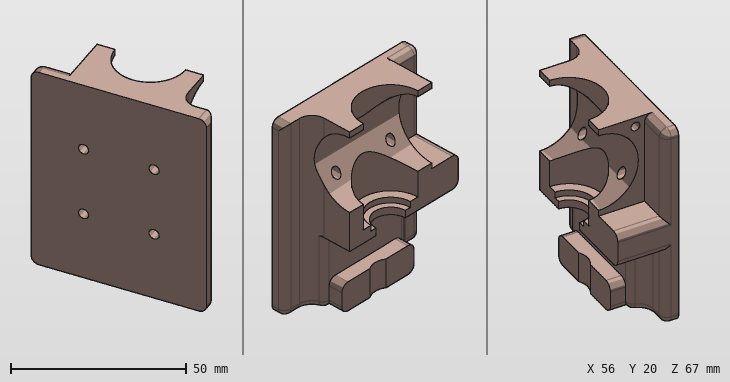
import cadquery as cq
import math

part_depth = 20.0
plate_width = 56.0
plate_height = 67.0
plate_thickness = part_depth / 4
edge_radius = plate_thickness / 2
mid_x = plate_width / 2

bracket_left = 11.0
bracket_right = plate_width - bracket_left
bracket_bottom = 25.4
root_radius = plate_thickness

arm_top = 37.0

pad_back = 2 * plate_thickness
stop_back = 3 * plate_thickness
stop_height = 10.05

cradle_radius = 13.0
cradle_z = 51.9
bore_radius = 6.0
step_radius = 8.1
seat_radius = 11.25
step_floor = 28.0
seat_floor = 30.0

mount_hole_diameter = 3.2
mount_hole_spacing = 22.5
mount_hole_z = plate_height / 2
side_hole_diameter = 2.9
side_hole_depth = 8.05
side_hole_y = 8.0
side_hole_z = 64.0

slack = 0.1

root_center_x = bracket_left - root_radius
root_center_y = plate_thickness + root_radius
edge_center_y = pad_back - edge_radius
flank_angle = math.asin((root_center_y - edge_center_y) / (root_radius + edge_radius))
pad_left = root_center_x + (root_radius + edge_radius) * math.cos(flank_angle)
pad_right = plate_width - pad_left


def block(x_range, y_range, z_range):
    """Box between pairs of limits along X, Y and Z."""
    size = [high - low for low, high in (x_range, y_range, z_range)]
    corner = (x_range[0], y_range[0], z_range[0])
    return cq.Workplane("XY").box(*size, centered=False).translate(corner)


def upright_cylinder(radius, bottom):
    """Vertical cylinder from bottom to the top of the part, its axis in the back face."""
    base = cq.Workplane("XY", origin=(mid_x, part_depth, bottom))
    return base.circle(radius).extrude(plate_height - bottom)


def make_plate():
    """Plate with rounded corners."""
    plate = block((0, plate_width), (0, plate_thickness), (0, plate_height))
    return plate.edges("|Y").fillet(edge_radius)


def make_pad():
    """Pad behind the lower part of the plate, with S-shaped flanks."""
    arc_end_y = root_center_y - root_radius * math.sin(flank_angle)
    arc_end_x = root_center_x + root_radius * math.cos(flank_angle)
    return (
        cq.Workplane("XY")
        .moveTo(root_center_x, 0)
        .lineTo(plate_width - root_center_x, 0)
        .lineTo(plate_width - root_center_x, plate_thickness)
        .radiusArc((plate_width - arc_end_x, arc_end_y), root_radius)
        .radiusArc((pad_right, pad_back), -edge_radius)
        .lineTo(pad_left, pad_back)
        .radiusArc((arc_end_x, arc_end_y), -edge_radius)
        .radiusArc((root_center_x, plate_thickness), root_radius)
        .close()
        .extrude(bracket_bottom)
    )


def make_bracket():
    """Bracket block with a concave root fillet between its right side and the plate."""
    return (
        cq.Workplane("XY", origin=(0, 0, bracket_bottom))
        .moveTo(bracket_left, 0)
        .lineTo(bracket_right + root_radius, 0)
        .lineTo(bracket_right + root_radius, plate_thickness)
        .radiusArc((bracket_right, root_center_y), root_radius)
        .lineTo(bracket_right, part_depth)
        .lineTo(bracket_left, part_depth)
        .close()
        .extrude(plate_height - bracket_bottom)
    )


def round_rear_rim(body):
    """Round the rear rim all around the plate and the bottom of the pad."""
    def on_rim(edge):
        box = edge.BoundingBox()
        on_left = box.xmax < edge_radius + slack
        on_right = box.xmin > plate_width - edge_radius - slack
        on_bottom = box.zmax < edge_radius + slack
        on_top = box.zmin > plate_height - edge_radius - slack
        on_rear = box.ymin > plate_thickness - slack
        return on_rear and (on_left or on_right or on_bottom or on_top)

    rim = [edge for edge in body.edges().vals() if on_rim(edge)]
    return body.newObject(rim).fillet(edge_radius)


def make_sharp_top():
    """Upper right quarter of the plate, whose top edge stays sharp beside the bracket."""
    quarter = block((mid_x, plate_width), (0, plate_thickness), (bracket_bottom, plate_height))
    quarter = quarter.edges("|Z and >X and >Y").fillet(edge_radius)
    return quarter.intersect(make_plate())


def make_arm():
    """Arm with its two outer edges rounded."""
    arm = block((0, bracket_right), (0, part_depth), (bracket_bottom, arm_top))
    return arm.edges("|Y and <X").fillet(edge_radius)


def make_stop():
    """Stop bar across the flat of the pad, rounded at its ends."""
    bar = block((pad_left, pad_right), (0, stop_back), (0, stop_height))
    return bar.edges("|Y").fillet(edge_radius)


def cut_cradle_and_bores(body):
    """Cut the half-round cradle along X and the stepped bore along Z."""
    cradle = (
        cq.Workplane("YZ")
        .center(part_depth, cradle_z)
        .circle(cradle_radius)
        .extrude(plate_width)
    )
    body = body.cut(cradle)
    for radius, floor in ((bore_radius, 0), (step_radius, step_floor), (seat_radius, seat_floor)):
        body = body.cut(upright_cylinder(radius, floor))
    return body


def drill_holes(body):
    """Drill the four mounting holes and the blind side hole."""
    mount_holes = (
        cq.Workplane("XZ", origin=(mid_x, 0, mount_hole_z))
        .rarray(mount_hole_spacing, mount_hole_spacing, 2, 2)
        .circle(mount_hole_diameter / 2)
        .extrude(-part_depth)
    )
    side_hole = (
        cq.Workplane("YZ", origin=(bracket_left, side_hole_y, side_hole_z))
        .circle(side_hole_diameter / 2)
        .extrude(side_hole_depth)
    )
    return body.cut(mount_holes).cut(side_hole)


body = round_rear_rim(make_plate().union(make_pad()))
for feature in (make_sharp_top(), make_bracket(), make_arm(), make_stop()):
    body = body.union(feature)
body = cut_cradle_and_bores(body)
result = drill_holes(body)